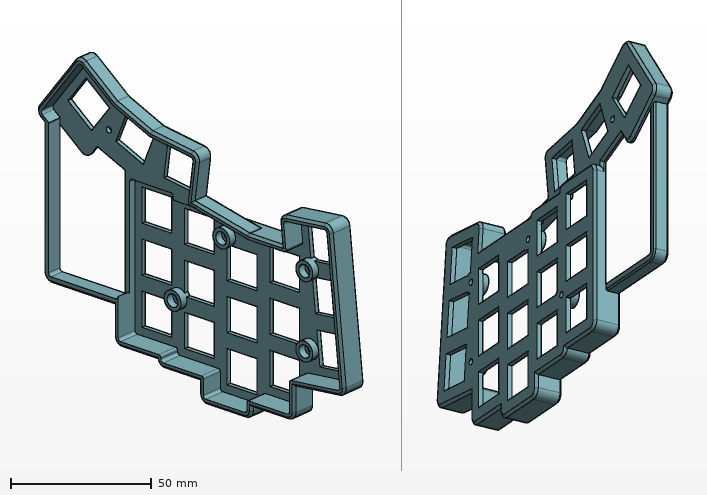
import cadquery as cq
import math


tray_depth = 11.0
thumb_depth = 8.1
plate = 1.9
main_floor = tray_depth - plate
thumb_floor = thumb_depth - plate
frame_depth = thumb_floor

wall = 2.2
frame_wall = 2.6
corner_radius = 1.2
step_radius = 0.9
edge_chamfer = 1.0
frame_chamfer = 0.6

key_hole = 14.0
pitch = 40.3 / 2
key_span = 20.5
key_room = key_span / 2
tall_key_room = 15.3

last_column_x = 36.5
column_x = [last_column_x - pitch * steps for steps in (3, 2, 1, 0)]
column_z = [-15.1, -17.7, -26.2, -21.2]
main_top = 10.8

side_key = (57.3, -6.5)
side_angle = 6

thumb_keys = [(-53.5, 38.7, -37.5), (-31.5, 31.7, -22.5), (-10.2, 26.2, -7.5)]
thumb_lower_room = 12.4
brace_start = (-0.5, 16.5)
brace_angle = -11.5
thumb_bottom = 7.3

frame_left = -67.0
frame_bottom = -29.5
frame_top = 30.5

bosses = [(9.3, 4.4), (48.6, 2.6), (-13.7, -26.2), (48.6, -28.5)]
boss_front = 6.0
boss_diameter = 8.0
bore_diameter = 5.1
screw_diameter = 2.3
thumb_hole = (-44.1, 31.4)


def local_point(key, across, along):
    """Point given by its offsets across and along a tilted key (X, Z, tilt)."""
    x, z, tilt = key
    c, s = math.cos(math.radians(tilt)), math.sin(math.radians(tilt))
    return (x + across * c - along * s, z + across * s + along * c)


def crossing(p, p_angle, q, q_angle):
    """Point where two lines meet, each given by a point and an angle."""
    pc, ps = math.cos(math.radians(p_angle)), math.sin(math.radians(p_angle))
    qc, qs = math.cos(math.radians(q_angle)), math.sin(math.radians(q_angle))
    t = ((q[0] - p[0]) * qs - (q[1] - p[1]) * qc) / (pc * qs - ps * qc)
    return (p[0] + t * pc, p[1] + t * ps)


def rounded_outline(points, growth):
    """Outline moved outward by the growth, with its outer corners rounded."""
    inset = cq.Workplane("XZ").polyline(points).close().offset2D(-corner_radius)
    return inset.offset2D(corner_radius + growth)


def cavity(points, depth):
    """Pocket from the rim to the given depth, with its inward corners rounded too."""
    return rounded_outline(points, step_radius).offset2D(-step_radius).extrude(-depth)


def block(points, depth, thickness, back_chamfer):
    """Solid body one wall larger than the pocket, chamfered at both ends."""
    body = rounded_outline(points, thickness).extrude(-depth)
    return body.faces("<Y").chamfer(edge_chamfer).faces(">Y").chamfer(back_chamfer)


def round_pin(center, diameter, start, end):
    """Cylinder along Y."""
    x, z = center
    disc = cq.Workplane("XZ", origin=(x, start, z)).circle(diameter / 2)
    return disc.extrude(start - end)


def key_cutter(key):
    """Square switch opening through every plate."""
    x, z, tilt = key
    square = cq.Workplane("XZ").rect(key_hole, key_hole).extrude(-tray_depth)
    return square.rotate((0, 0, 0), (0, 1, 0), -tilt).translate((x, 0, z))


left = [x - key_room for x in column_x]
right = [x + key_room for x in column_x]
bottom = [z - pitch - key_room for z in column_z]
top = [z + pitch + key_room for z in column_z]
side = (*side_key, side_angle)
side_height = pitch + key_room
side_low_left = local_point(side, -key_room, -side_height)
side_top_left = local_point(side, -key_room, side_height)
main_points = [
    (left[0], bottom[0]),
    (left[1], bottom[0]),
    (left[1], bottom[1]),
    (left[2], bottom[1]),
    (left[2], bottom[2]),
    (right[2], bottom[2]),
    (right[2], bottom[3]),
    (right[3], bottom[3]),
    crossing((right[3], 0), 90, side_low_left, side_angle),
    local_point(side, key_room, -side_height),
    local_point(side, key_room, side_height),
    side_top_left,
    crossing((0, main_top), 0, side_top_left, 90 + side_angle),
    (right[1], main_top),
    (right[1], top[1]),
    (right[0], top[1]),
    (right[0], top[0]),
    (left[0], top[0]),
]

outer_key, middle_key, inner_key = thumb_keys
outer_top = local_point(outer_key, 0, tall_key_room)
outer_right = local_point(outer_key, key_room, 0)
middle_top = local_point(middle_key, 0, key_room)
middle_bottom = local_point(middle_key, 0, -thumb_lower_room)
inner_top = local_point(inner_key, 0, key_room)
inner_right = local_point(inner_key, key_room, 0)
brace_end = crossing(brace_start, brace_angle, (0, main_top), 0)
thumb_points = [
    local_point(outer_key, -key_room, -tall_key_room),
    local_point(outer_key, -key_room, tall_key_room),
    crossing(outer_top, outer_key[2], middle_top, middle_key[2]),
    crossing(middle_top, middle_key[2], inner_top, inner_key[2]),
    local_point(inner_key, key_room, key_room),
    crossing(inner_right, inner_key[2] + 90, brace_start, brace_angle),
    brace_end,
    (brace_end[0], thumb_bottom),
    (left[0], thumb_bottom),
    crossing(middle_bottom, middle_key[2], (left[0], 0), 90),
    crossing(middle_bottom, middle_key[2], outer_right, outer_key[2] + 90),
    local_point(outer_key, key_room, -tall_key_room),
]

frame_points = [
    (frame_left, frame_bottom),
    (left[0], frame_bottom),
    (left[0], frame_top),
    (frame_left, frame_top),
]

result = block(main_points, tray_depth, wall, edge_chamfer)
result = result.union(block(thumb_points, thumb_depth, wall, edge_chamfer))
result = result.union(block(frame_points, frame_depth, frame_wall, frame_chamfer))
result = result.cut(cavity(main_points, main_floor))
result = result.cut(cavity(thumb_points, thumb_floor))
result = result.cut(cavity(frame_points, frame_depth))

keys = list(thumb_keys)
for row in (-1, 0, 1):
    keys += [(x, z + row * pitch, 0) for x, z in zip(column_x, column_z)]
    keys.append((*local_point(side, 0, row * pitch), side_angle))
for key in keys:
    result = result.cut(key_cutter(key))

for center in bosses:
    result = result.union(round_pin(center, boss_diameter, boss_front, tray_depth))
    result = result.cut(round_pin(center, bore_diameter, 0, main_floor))
    result = result.cut(round_pin(center, screw_diameter, 0, tray_depth))
result = result.cut(round_pin(thumb_hole, screw_diameter, 0, thumb_depth))